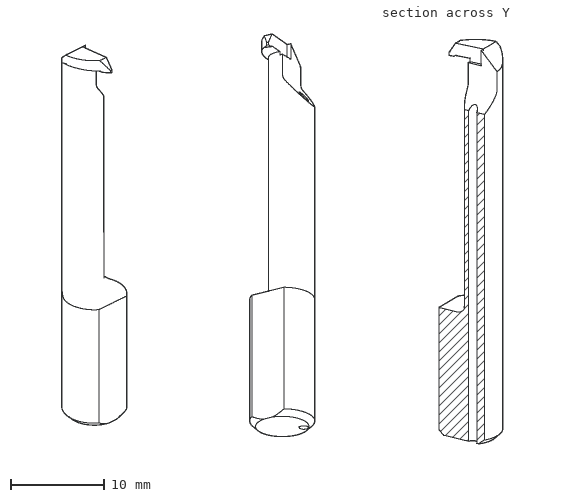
import cadquery as cq

length = 45.0
shank_radius = 3.5
flat_x = 2.85
base_chamfer = 0.65

shoulder_z = 14.75
neck_radius = 3.05
neck_right_x = 0.2
neck_center_x = neck_right_x - neck_radius
shoulder_fillet = 0.8

face_y = 0.15
face_bottom_z = 40.5
slope_end_y = 2.92
slope_end_z = 37.12
face_fillet = 1.2

bevel_start_z = 42.98
tip_x = 2.75
tip_lower_z = 43.42
tip_upper_z = 43.75
head_bottom_z = 43.55
lip_start_x = 1.95
lip_end_x = 2.1
top_right_x = 1.95

head_left_x = -1.95
head_left_y = -2.9
front_left = (-1.05, -2.85)
front_middle = (0.15, -2.48)
front_right = (1.12, -1.9)
tip_front_y = -0.22
relief_angle = 6.0

rake_left_x = length - bevel_start_z - shank_radius
rake_depth_y = -0.3
rake_floor_z = 43.2

coolant_diameter = 1.0
coolant_x = -1.5
coolant_y = 1.8

margin = 9.0


def make_bar():
    bar = cq.Workplane("XY").circle(shank_radius).extrude(length).faces("<Z").chamfer(base_chamfer)
    around_neck = (
        cq.Workplane("XY", origin=(neck_center_x, 0, shoulder_z))
        .circle(neck_radius + margin)
        .circle(neck_radius)
        .extrude(length)
    )
    inner_rim = cq.selectors.RadiusNthSelector(0)
    around_neck = around_neck.faces("<Z").edges(inner_rim).fillet(shoulder_fillet)
    flat = cq.Workplane("XY").box(margin, margin, length, centered=(False, True, False))
    return bar.cut(around_neck).cut(flat.translate((flat_x, 0, 0)))


def make_head():
    outline = (
        cq.Workplane("XY", origin=(0, 0, bevel_start_z))
        .moveTo(head_left_x, face_y)
        .lineTo(tip_x, face_y)
        .lineTo(tip_x, tip_front_y)
        .lineTo(*front_right)
        .threePointArc(front_middle, front_left)
        .lineTo(head_left_x, head_left_y)
        .close()
        .extrude(length - bevel_start_z)
    )
    nose = (
        cq.Workplane("XZ")
        .polyline([(top_right_x, length), (tip_x, tip_upper_z), (tip_x, length)])
        .close()
        .extrude(margin, both=True)
    )
    underside = (
        cq.Workplane("XZ")
        .polyline([
            (-margin, head_bottom_z),
            (lip_start_x, head_bottom_z),
            (lip_end_x, tip_lower_z),
            (margin, tip_lower_z),
            (margin, bevel_start_z - margin),
            (-margin, bevel_start_z - margin),
        ])
        .close()
        .extrude(margin, both=True)
        .rotate((0, 0, head_bottom_z), (1, 0, head_bottom_z), -relief_angle)
    )
    return outline.cut(nose).cut(underside)


def make_back_cut():
    slope = (slope_end_z - face_bottom_z) / (slope_end_y - face_y)
    outer_z = face_bottom_z + slope * (margin - face_y)
    cutter = (
        cq.Workplane("YZ")
        .polyline([
            (face_y, face_bottom_z),
            (margin, outer_z),
            (margin, length + margin),
            (face_y, length + margin),
        ])
        .close()
        .extrude(margin, both=True)
    )
    corner = cq.selectors.NearestToPointSelector((0, face_y, face_bottom_z))
    return cutter.edges(corner).fillet(face_fillet)


def make_bevel():
    bevel_height = length - bevel_start_z
    return (
        cq.Workplane("XZ")
        .polyline([
            (-shank_radius, bevel_start_z),
            (-shank_radius + bevel_height, length),
            (-shank_radius, length),
        ])
        .close()
        .extrude(margin, both=True)
    )


def make_rake():
    return (
        cq.Workplane("XY", origin=(0, 0, rake_floor_z))
        .polyline([(rake_left_x, face_y), (rake_left_x, rake_depth_y), (tip_x, 0), (tip_x, face_y)])
        .close()
        .extrude(margin)
    )


def make_coolant_hole():
    return cq.Workplane("XY").center(coolant_x, coolant_y).circle(coolant_diameter / 2).extrude(length)


result = make_bar().union(make_head())
for cutter in (make_back_cut(), make_bevel(), make_rake(), make_coolant_hole()):
    result = result.cut(cutter)